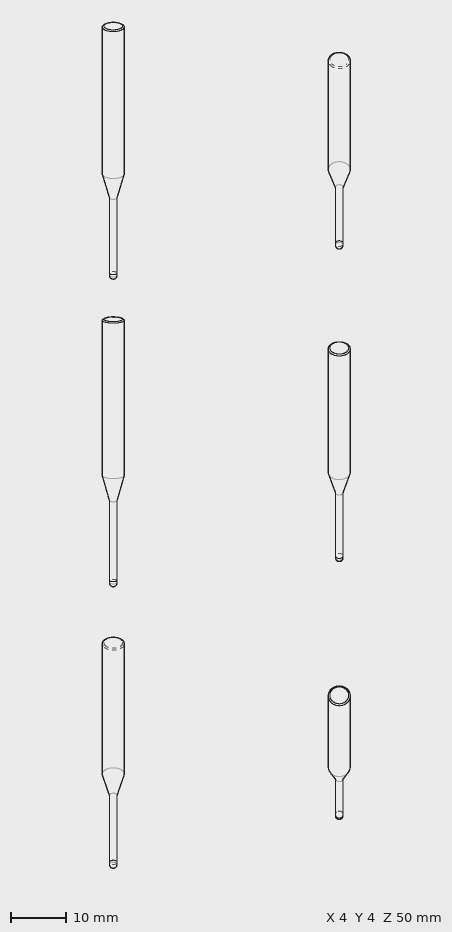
import cadquery as cq
import math

total_length = 50.0
shank_radius = 2.0
neck_radius = 0.7
ball_radius = 0.7
tip_length = 1.15
taper_bottom = 16.05
taper_top = 20.75
chamfer_width = 0.3
chamfer_height = 0.2


def make_holder():
    """Shank, taper and neck, turned as one solid down to the tip joint."""
    return (
        cq.Workplane("XZ")
        .moveTo(0, tip_length)
        .lineTo(neck_radius, tip_length)
        .lineTo(neck_radius, taper_bottom)
        .lineTo(shank_radius, taper_top)
        .lineTo(shank_radius, total_length - chamfer_height)
        .lineTo(shank_radius - chamfer_width, total_length)
        .lineTo(0, total_length)
        .close()
        .revolve(360, (0, 0), (0, 1))
    )


def make_cutting_tip():
    """Ball-ended tip with a flat joint face against the neck."""
    arc_middle = ball_radius * math.sqrt(0.5)
    return (
        cq.Workplane("XZ")
        .moveTo(0, 0)
        .threePointArc((arc_middle, ball_radius - arc_middle), (ball_radius, ball_radius))
        .lineTo(ball_radius, tip_length)
        .lineTo(0, tip_length)
        .close()
        .revolve(360, (0, 0), (0, 1))
    )


holder = make_holder()
cutting_tip = make_cutting_tip()

result = cq.Compound.makeCompound([holder.val(), cutting_tip.val()])